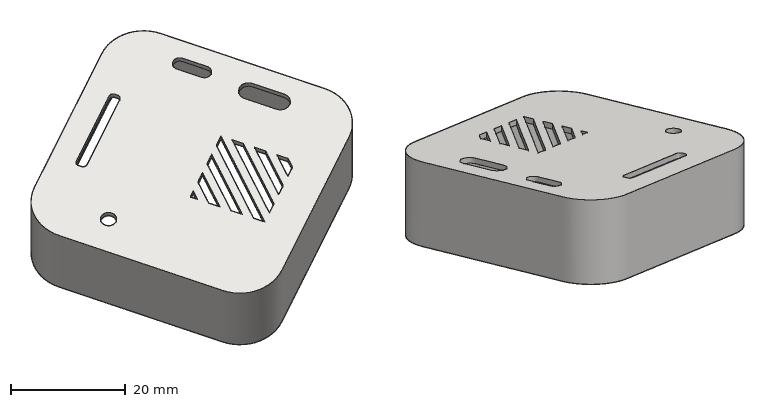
import cadquery as cq
import math

side = 46.7
height = 15.6
corner_radius = 7.95
wall = 1.0
top_thickness = 1.05
cavity_corner_radius = 6.0

back_slots = [
    (-7.6, 18.65, 7.15, 2.5),
    (6.4, 17.8, 9.5, 3.5),
]

side_slot_x = -17.7
side_slot_y = 0.05
side_slot_width = 2.0
side_slot_length = 16.5
side_slot_radius = 0.75

hole_x = -8.8
hole_y = -16.8
hole_diameter = 2.8

grille_x = 9.6
grille_y = 0.05
grille_side = 14.05
opening_width = 1.5
opening_pitch = 2 * opening_width


def rounded_block(width, block_height, radius):
    """Square block standing on Z = 0 with rounded vertical edges."""
    return cq.Workplane("XY").rect(width, width).extrude(block_height).edges("|Z").fillet(radius)


def shell():
    """Box with a closed top plate and an open bottom."""
    cavity = rounded_block(side - 2 * wall, height - top_thickness, cavity_corner_radius)
    return rounded_block(side, height, corner_radius).cut(cavity)


def plate_sketch(x, y):
    """Workplane centred at (x, y) on the underside of the top plate."""
    return cq.Workplane("XY", origin=(x, y, height - top_thickness))


def back_slot(x, y, length, width):
    """Cutter for an obround slot parallel to X."""
    return plate_sketch(x, y).slot2D(length, width).extrude(top_thickness)


def side_slot():
    """Cutter for the long slot with rounded corners, parallel to Y."""
    blank = plate_sketch(side_slot_x, side_slot_y).rect(side_slot_width, side_slot_length)
    return blank.extrude(top_thickness).edges("|Z").fillet(side_slot_radius)


def round_hole():
    """Cutter for the round hole."""
    return plate_sketch(hole_x, hole_y).circle(hole_diameter / 2).extrude(top_thickness)


def grille():
    """Cutter of diagonal strips clipped to a square; one strip borders the square's diagonal."""
    diagonal = grille_side * math.sqrt(2)
    strips_per_half = math.ceil(diagonal / 2 / opening_pitch)
    strip_centres = [
        (0, i * opening_pitch - opening_width / 2)
        for i in range(-strips_per_half, strips_per_half + 1)
    ]
    strips = (
        plate_sketch(grille_x, grille_y)
        .transformed(rotate=(0, 0, -45))
        .pushPoints(strip_centres)
        .rect(diagonal, opening_width)
        .extrude(top_thickness)
    )
    square = plate_sketch(grille_x, grille_y).rect(grille_side, grille_side).extrude(top_thickness)
    return square.intersect(strips)


result = shell()
for slot_x, slot_y, slot_length, slot_width in back_slots:
    result = result.cut(back_slot(slot_x, slot_y, slot_length, slot_width))
result = result.cut(side_slot()).cut(round_hole()).cut(grille())